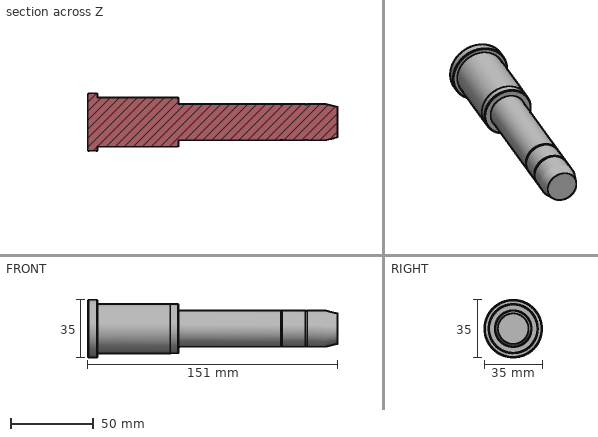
import cadquery as cq

total_length = 151.0

head_diameter = 35.0
head_length = 6.0
head_chamfer = 0.5

bore_diameter = 30.0
body_clearance = 0.05
body_diameter = bore_diameter - body_clearance
lead_diameter = body_diameter - body_clearance
shoulder_x = 55.0
lead_length = 5.0
lead_start = shoulder_x - lead_length
lead_chamfer = 0.5

relief_end = head_length + 1.0
relief_depth = 0.2

shank_diameter = 22.0
groove_starts = (116.5, 131.5)
groove_width = 1.0
groove_depth = 0.3
tip_start = total_length - 7.2
tip_diameter = 18.4

blend_end = shoulder_x + 0.8
blend_height = 0.2


def cylinder(start_x, end_x, diameter):
    """Solid cylinder along X."""
    return cq.Workplane("YZ").workplane(offset=start_x).circle(diameter / 2).extrude(end_x - start_x)


def cone(start_x, end_x, start_diameter, end_diameter):
    """Solid truncated cone along X."""
    start_circle = cq.Workplane("YZ").workplane(offset=start_x).circle(start_diameter / 2)
    return start_circle.workplane(offset=end_x - start_x).circle(end_diameter / 2).loft(ruled=True)


def ring_groove(start_x):
    """Round-bottomed ring that cuts a groove into the shank."""
    radius = shank_diameter / 2
    bottom = (start_x + groove_width / 2, radius - groove_depth)
    end = (start_x + groove_width, radius)
    section = cq.Workplane("XY").moveTo(start_x, radius).threePointArc(bottom, end).close()
    return section.revolve(360, (0, 0, 0), (1, 0, 0))


head = cylinder(0, head_length, head_diameter).faces("<X or >X").chamfer(head_chamfer)

relief = cone(head_length, relief_end, body_diameter - 2 * relief_depth, body_diameter)
body = cylinder(relief_end, lead_start, body_diameter)
lead = cylinder(lead_start, shoulder_x, lead_diameter).faces(">X").chamfer(lead_chamfer)

blend = cone(shoulder_x, blend_end, shank_diameter + 2 * blend_height, shank_diameter)
shank = cylinder(blend_end, tip_start, shank_diameter)
for groove_start in groove_starts:
    shank = shank.cut(ring_groove(groove_start))
tip = cone(tip_start, total_length, shank_diameter, tip_diameter)

result = head.union(relief).union(body).union(lead).union(blend).union(shank).union(tip)